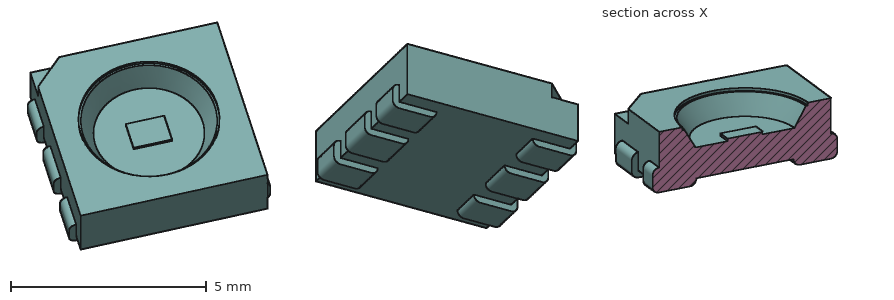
import cadquery as cq

BODY_SIDE = 4.95
BODY_HEIGHT = 1.5
LEAD_THICKNESS = 0.19
BODY_BOTTOM = LEAD_THICKNESS
BODY_TOP = BODY_BOTTOM + BODY_HEIGHT

NOTCH_LEG = 0.76
NOTCH_DEPTH = 0.41

STEP_DIAMETER = 3.61
STEP_DEPTH = 0.08
CUP_TOP_DIAMETER = 3.49
CUP_FLOOR_DIAMETER = 2.84
CUP_DEPTH = 0.63

CHIP_LENGTH_X = 0.77
CHIP_LENGTH_Y = 1.02
CHIP_HEIGHT = 0.07

LEAD_RISE = 0.51
FOOT_LENGTH = 1.08
OUTER_LEAD_WIDTH = 0.89
CENTER_LEAD_WIDTH = 1.03
OUTER_LEAD_OFFSET = 1.59


def make_body():
    return (
        cq.Workplane("XY")
        .workplane(offset=BODY_BOTTOM)
        .rect(BODY_SIDE, BODY_SIDE)
        .extrude(BODY_HEIGHT)
    )


def make_notch():
    """Triangular prism removed from the top of the -X, -Y corner."""
    corner = -BODY_SIDE / 2
    return (
        cq.Workplane("XY")
        .workplane(offset=BODY_TOP - NOTCH_DEPTH)
        .moveTo(corner, corner)
        .lineTo(corner + NOTCH_LEG, corner)
        .lineTo(corner, corner + NOTCH_LEG)
        .close()
        .extrude(NOTCH_DEPTH)
    )


def make_cup():
    """Volume of the stepped, tapered cup, revolved about Z."""
    step_z = BODY_TOP - STEP_DEPTH
    floor_z = BODY_TOP - CUP_DEPTH
    return (
        cq.Workplane("XZ")
        .moveTo(0, BODY_TOP)
        .lineTo(STEP_DIAMETER / 2, BODY_TOP)
        .lineTo(STEP_DIAMETER / 2, step_z)
        .lineTo(CUP_TOP_DIAMETER / 2, step_z)
        .lineTo(CUP_FLOOR_DIAMETER / 2, floor_z)
        .lineTo(0, floor_z)
        .close()
        .revolve(360, (0, 0, 0), (0, 1, 0))
    )


def make_chip():
    return (
        cq.Workplane("XY")
        .workplane(offset=BODY_TOP - CUP_DEPTH)
        .rect(CHIP_LENGTH_X, CHIP_LENGTH_Y)
        .extrude(CHIP_HEIGHT)
    )


def make_lead(center_x, width):
    """L-shaped lead on the -Y side; its bend and both ends are rounded by the lead thickness."""
    face_y = -BODY_SIDE / 2
    outer_y = face_y - LEAD_THICKNESS
    foot_end_y = face_y + FOOT_LENGTH
    lead_top = BODY_BOTTOM + LEAD_RISE
    radius = LEAD_THICKNESS
    return (
        cq.Workplane("YZ")
        .workplane(offset=center_x - width / 2)
        .moveTo(face_y, lead_top)
        .radiusArc((outer_y, lead_top - radius), -radius)
        .lineTo(outer_y, BODY_BOTTOM)
        .radiusArc((face_y, 0), -radius)
        .lineTo(foot_end_y - radius, 0)
        .radiusArc((foot_end_y, BODY_BOTTOM), -radius)
        .lineTo(face_y, BODY_BOTTOM)
        .close()
        .extrude(width)
    )


result = make_body().cut(make_notch()).cut(make_cup()).union(make_chip())

for lead_x, lead_width in (
    (-OUTER_LEAD_OFFSET, OUTER_LEAD_WIDTH),
    (0, CENTER_LEAD_WIDTH),
    (OUTER_LEAD_OFFSET, OUTER_LEAD_WIDTH),
):
    lead = make_lead(lead_x, lead_width)
    result = result.union(lead).union(lead.mirror("XZ"))